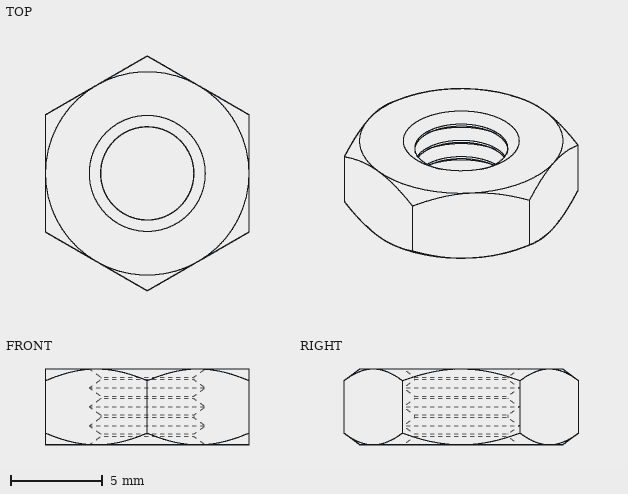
import cadquery as cq
import math

across_corners = 12.83
height = 4.15
corner_radius = across_corners / 2
flat_radius = corner_radius * math.cos(math.pi / 6)
corner_drop = 0.64

root_radius = 3.17
crest_radius = 2.54
ridge_count = 4
pitch = height / ridge_count
crest_width = 0.13
flank_height = (pitch - crest_width) / 2


def hexagon_blank():
    angles = [math.pi / 6 + i * math.pi / 3 for i in range(6)]
    corners = [(corner_radius * math.cos(a), corner_radius * math.sin(a)) for a in angles]
    return cq.Workplane("XY").polyline(corners).close().extrude(height)


def chamfer_envelope():
    """Turned body whose conical ends trim the hexagon corners."""
    profile = [
        (0, 0),
        (flat_radius, 0),
        (corner_radius, corner_drop),
        (corner_radius, height - corner_drop),
        (flat_radius, height),
        (0, height),
    ]
    return cq.Workplane("XZ").polyline(profile).close().revolve(360, (0, 0), (0, 1))


def threaded_bore():
    """Bore outline, followed ridge by ridge from the top face down."""
    profile = [(0, height), (root_radius, height)]
    for i in range(ridge_count):
        ridge_top = height - i * pitch
        profile += [
            (crest_radius, ridge_top - flank_height),
            (crest_radius, ridge_top - flank_height - crest_width),
            (root_radius, ridge_top - pitch),
        ]
    profile.append((0, 0))
    return cq.Workplane("XZ").polyline(profile).close().revolve(360, (0, 0), (0, 1))


result = hexagon_blank().intersect(chamfer_envelope()).cut(threaded_bore())